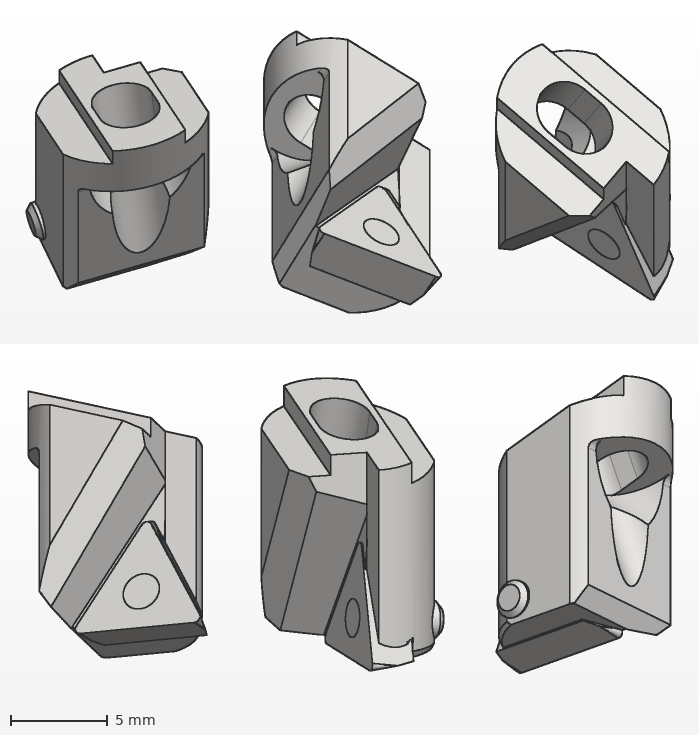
import cadquery as cq
import math


def tan(degrees):
    return math.tan(math.radians(degrees))


def sin(degrees):
    return math.sin(math.radians(degrees))


def cos(degrees):
    return math.cos(math.radians(degrees))


body_radius = 4.5
flat_to_flat = 8.0
total_height = 13.75
slope = 20.0
axis_top_z = total_height - body_radius * tan(slope)
bottom_slope = 3.0
bottom_axis_z = 0.59
bottom_cone_z = 0.74
bottom_cone_run = 0.5

head_thickness = 3.2
back_wall_x = 2.86
head_fillet = 0.5
back_chamfer_z = 1.75
back_chamfer_angle = 30.0

tongue_width = 4.0
tongue_height = 1.0

slot_radius = 1.6
slot_travel = 1.1
relief_start = -1.0
relief_radius = 2.87
relief_tilt = 25.0

notch_x = -2.76
gullet_descent = 57.4
gullet_root_z = 8.39
gullet_corner = (2.79, 9.23)
gullet_bevel_rise = 1.9

lean = 5.0
rake_foot_y = 0.54
insert_x = -1.54
insert_center_z = 2.28
insert_inradius = 2.13
insert_thickness = 2.5
insert_relief = 11.0
insert_corner_angles = [90 + bottom_slope, 210 + bottom_slope, 330 + bottom_slope]
free_flank_angle = 150 + bottom_slope
nose_radius = 0.3

pocket_clearance = 0.22
corner_relief_radius = 0.25

screw_x = -1.58
screw_z = 2.24
screw_radius = 1.0
screw_length = 4.78
screw_chamfer = 0.3

cut_size = 3 * total_height

slope_plane = cq.Plane(
    origin=(0, 0, axis_top_z),
    xDir=(cos(slope), 0, sin(slope)),
    normal=(-sin(slope), 0, cos(slope)),
)


def rake_plane(x, z):
    """Plane on the rake face at the given X and Z, facing into the insert toward -Y."""
    return cq.Plane(
        origin=(x, rake_foot_y - z * tan(lean), z),
        xDir=(1, 0, 0),
        normal=(0, -cos(lean), -sin(lean)),
    )


def side_profile():
    """Outline of the housing in the XZ plane, pulled through the whole depth."""
    head_drop = head_thickness / cos(slope)

    def top_z(x):
        return axis_top_z + x * tan(slope)

    def bottom_z(x):
        return bottom_axis_z + x * tan(bottom_slope)

    chamfer_drop = back_chamfer_z - bottom_z(back_wall_x)
    chamfer_run = chamfer_drop * tan(back_chamfer_angle) / (1 - tan(bottom_slope) * tan(back_chamfer_angle))
    chamfer_end_x = back_wall_x - chamfer_run

    profile = (
        cq.Workplane("XZ")
        .polyline([
            (-body_radius, bottom_z(-body_radius)),
            (chamfer_end_x, bottom_z(chamfer_end_x)),
            (back_wall_x, back_chamfer_z),
            (back_wall_x, top_z(back_wall_x) - head_drop),
            (body_radius, top_z(body_radius) - head_drop),
            (body_radius, top_z(body_radius)),
            (-body_radius, top_z(-body_radius)),
        ])
        .close()
        .extrude(body_radius, both=True)
    )
    under_head = cq.selectors.NearestToPointSelector((back_wall_x, 0, top_z(back_wall_x) - head_drop))
    return profile.edges("|Y").edges(under_head).fillet(head_fillet)


def round_bar():
    """Bar with two flats whose round sides taper in at the lower end."""
    foot_radius = body_radius - bottom_cone_run * bottom_cone_z
    bar = (
        cq.Workplane("XZ")
        .polyline([
            (0, 0),
            (foot_radius, 0),
            (body_radius, bottom_cone_z),
            (body_radius, total_height),
            (0, total_height),
        ])
        .close()
        .revolve(360, (0, 0), (0, 1))
    )
    flats = cq.Workplane("XY").rect(cut_size, flat_to_flat).extrude(total_height)
    return bar.intersect(flats)


def tongue_shoulders():
    """Material beside the tongue."""
    shoulder_width = body_radius - tongue_width / 2
    shoulder_y = (body_radius + tongue_width / 2) / 2
    return (
        cq.Workplane(slope_plane)
        .pushPoints([(0, shoulder_y), (0, -shoulder_y)])
        .rect(cut_size, shoulder_width)
        .extrude(-tongue_height)
    )


def slot_and_relief():
    """Long slot as deep as the head, with a round bore and a flatter, wider bore going on below it."""
    slot = (
        cq.Workplane(slope_plane)
        .center(slot_travel / 2, 0)
        .slot2D(slot_travel + 2 * slot_radius, 2 * slot_radius)
        .extrude(-head_thickness)
    )
    bore = cq.Workplane(slope_plane).center(slot_travel, 0).circle(slot_radius).extrude(-2 * total_height)
    relief_center = relief_start + relief_radius / cos(relief_tilt)
    relief = (
        cq.Workplane(slope_plane)
        .transformed(offset=(relief_center, 0, -head_thickness), rotate=(0, -relief_tilt, 0))
        .circle(relief_radius)
        .extrude(total_height, both=True)
    )
    below_head = (
        cq.Workplane(slope_plane)
        .workplane(offset=-head_thickness)
        .rect(cut_size, cut_size)
        .extrude(-cut_size)
    )
    return slot.union(bore).union(relief.intersect(below_head))


def chip_notch():
    """Square corner cut over the full height."""
    return (
        cq.Workplane("XY")
        .box(body_radius, body_radius, total_height, centered=False)
        .translate((notch_x - body_radius, 0, 0))
    )


def chip_gullet():
    """Undercut that runs down and back from the notch and leaves the rake plane as its floor."""
    corner_y, corner_z = gullet_corner
    roof_rise = (corner_z - gullet_root_z) / corner_y
    floor_y = -body_radius
    profile = cq.Wire.makePolygon(
        [
            cq.Vector(notch_x, floor_y, gullet_root_z + floor_y * roof_rise),
            cq.Vector(notch_x, corner_y, corner_z),
            cq.Vector(notch_x, body_radius, corner_z + (body_radius - corner_y) * gullet_bevel_rise),
            cq.Vector(notch_x, body_radius, -total_height),
            cq.Vector(notch_x, floor_y, -total_height),
        ],
        close=True,
    )
    run = cq.Vector(total_height, 0, -total_height * tan(gullet_descent))
    gullet = cq.Workplane(cq.Solid.extrudeLinear(profile, [], run))
    behind_rake = cq.Workplane(rake_plane(0, 0)).rect(cut_size, cut_size).extrude(cut_size)
    return gullet.cut(behind_rake)


def insert_blank():
    """Relieved triangle, before its screw hole is made, with noses that run out to sharp corners."""
    def corner_point(distance, angle):
        return (distance * cos(angle), distance * sin(angle))

    blank = (
        cq.Workplane("XY")
        .polyline([corner_point(2 * insert_inradius, angle) for angle in insert_corner_angles])
        .close()
        .extrude(insert_thickness, taper=insert_relief)
    )
    half_turn_of_nose = 60
    nose_height = nose_radius / tan(insert_relief)
    nose_distance = 2 * (insert_inradius - nose_radius)
    for angle in insert_corner_angles:
        center = corner_point(nose_distance, angle)
        sharp_tip = (
            cq.Workplane("XY")
            .center(*center)
            .polyline([
                (0, 0),
                corner_point(2 * nose_radius, angle - half_turn_of_nose),
                corner_point(4 * nose_radius, angle),
                corner_point(2 * nose_radius, angle + half_turn_of_nose),
            ])
            .close()
            .extrude(nose_height)
        )
        nose = cq.Solid.makeCone(nose_radius, 0, nose_height, cq.Vector(*center, 0), cq.Vector(0, 0, 1))
        blank = blank.cut(sharp_tip).union(cq.Workplane(nose))
    return cq.Workplane(blank.val().moved(cq.Location(rake_plane(insert_x, insert_center_z))))


def insert_pocket(blank):
    """Seat of the insert, opened toward -X, with a round groove along its inner corner."""
    groove_depth = insert_thickness - corner_relief_radius
    groove_distance = insert_inradius - groove_depth * tan(insert_relief)
    groove = (
        cq.Workplane(rake_plane(insert_x, insert_center_z))
        .transformed(rotate=(0, 0, free_flank_angle))
        .center(groove_distance, 0)
        .transformed(offset=(0, 0, groove_depth), rotate=(90, 0, 0))
        .circle(corner_relief_radius)
        .extrude(insert_inradius, both=True)
    )
    return blank.union(blank.translate((-pocket_clearance, 0, 0))).union(groove)


def insert_screw():
    """Plain screw shank from the rake face through the insert and out on the -Y side."""
    return (
        cq.Workplane(rake_plane(screw_x, screw_z))
        .circle(screw_radius)
        .extrude(screw_length)
        .faces("<Y")
        .chamfer(screw_chamfer)
    )


screw = insert_screw()
blank = insert_blank()
insert = blank.cut(screw)
housing = (
    side_profile()
    .intersect(round_bar())
    .cut(tongue_shoulders())
    .cut(slot_and_relief())
    .cut(chip_notch())
    .cut(chip_gullet())
    .cut(insert_pocket(blank))
    .cut(screw)
)

result = cq.Compound.makeCompound([housing.val(), insert.val(), screw.val()])